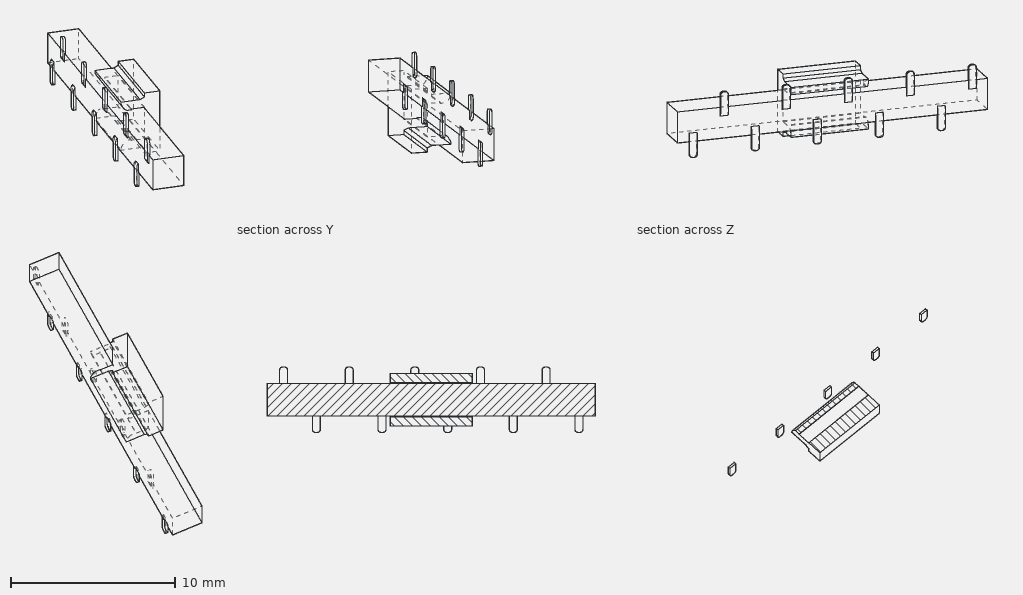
import cadquery as cq
import math

HOUSING_LENGTH = 20.0
HOUSING_DEPTH = 2.0
HOUSING_HEIGHT = 2.0

TAIL_COUNT = 10
TAIL_PITCH = 2.0
TAIL_WIDTH = 0.5
TAIL_THICKNESS = 0.15
TAIL_PROTRUSION = 0.1
TAIL_TIP_Z = 2.0
TAIL_TIP_RADIUS = 0.2
TAIL_ROOT_Z = 0.45
TAIL_BEND_Z = 0.65

CAP_LENGTH = 5.0
CAP_PLATE_THICKNESS = 1.0
CAP_PLATE_HALF_HEIGHT = 2.0
ARM_REACH = 1.5
ARM_OUTER_Z = 1.6
ARM_CLEARANCE = 0.05
LIP_START = 0.85
LIP_FLAT_HEIGHT = 0.05
LIP_RADIUS = 0.35
LIP_BEVEL_ANGLE = math.radians(30)
LIP_END_ANGLE = math.radians(90)
ROOT_CHAMFER_DEPTH = 0.28
ROOT_CHAMFER_HEIGHT = 0.15

HOUSING_HALF_HEIGHT = HOUSING_HEIGHT / 2
HOUSING_FRONT_Y = -HOUSING_DEPTH
TAIL_FRONT_Y = HOUSING_FRONT_Y - TAIL_PROTRUSION
TAIL_BACK_Y = TAIL_FRONT_Y + TAIL_THICKNESS


def make_tail(x, side):
    """Flat tail with rounded tip corners and a rounded root; side is +1 for up, -1 for down."""
    drop = TAIL_BEND_Z - TAIL_ROOT_Z
    radius = (drop**2 + TAIL_PROTRUSION**2) / (2 * TAIL_PROTRUSION)
    half_angle = math.asin(drop / radius) / 2
    arc_mid = (
        TAIL_FRONT_Y + radius * (1 - math.cos(half_angle)),
        side * (TAIL_BEND_Z - radius * math.sin(half_angle)),
    )
    tail = (
        cq.Workplane("YZ")
        .moveTo(TAIL_BACK_Y, side * TAIL_TIP_Z)
        .lineTo(TAIL_FRONT_Y, side * TAIL_TIP_Z)
        .lineTo(TAIL_FRONT_Y, side * TAIL_BEND_Z)
        .threePointArc(arc_mid, (HOUSING_FRONT_Y, side * TAIL_ROOT_Z))
        .lineTo(TAIL_BACK_Y, side * TAIL_ROOT_Z)
        .close()
        .extrude(TAIL_WIDTH / 2, both=True)
    )
    tip_face = ">Z" if side > 0 else "<Z"
    tail = tail.faces(tip_face).edges("|Y").fillet(TAIL_TIP_RADIUS)
    return tail.translate((x, 0, 0))


def make_housing():
    """Plain bar carrying tails that alternate between the lower and upper edge."""
    housing = cq.Workplane("XY").box(HOUSING_LENGTH, HOUSING_DEPTH, HOUSING_HEIGHT)
    housing = housing.translate((0, -HOUSING_DEPTH / 2, 0))
    for index in range(TAIL_COUNT):
        x = (index - (TAIL_COUNT - 1) / 2) * TAIL_PITCH
        side = -1 if index % 2 == 0 else 1
        housing = housing.union(make_tail(x, side))
    return housing


def nose_point(centre_y, centre_z, angle, side):
    """Point on a lip round, its angle measured from the front toward the housing."""
    return (
        centre_y - LIP_RADIUS * math.cos(angle),
        side * (centre_z - LIP_RADIUS * math.sin(angle)),
    )


def make_half_cap(side):
    """Upper (+1) or lower (-1) half of the cap: half of the plate and one clip arm."""
    upper_centre_y = LIP_RADIUS - ARM_REACH
    upper_centre_z = ARM_OUTER_Z - LIP_FLAT_HEIGHT
    lower_centre_z = HOUSING_HALF_HEIGHT + LIP_RADIUS
    lower_centre_y = upper_centre_y + (upper_centre_z - lower_centre_z) * math.tan(LIP_BEVEL_ANGLE)

    def upper_round(angle):
        return nose_point(upper_centre_y, upper_centre_z, angle, side)

    def lower_round(angle):
        return nose_point(lower_centre_y, lower_centre_z, angle, side)

    recess_z = side * (HOUSING_HALF_HEIGHT + ARM_CLEARANCE)
    return (
        cq.Workplane("YZ")
        .moveTo(CAP_PLATE_THICKNESS, 0)
        .lineTo(CAP_PLATE_THICKNESS, side * CAP_PLATE_HALF_HEIGHT)
        .lineTo(0, side * CAP_PLATE_HALF_HEIGHT)
        .lineTo(0, side * (ARM_OUTER_Z + ROOT_CHAMFER_HEIGHT))
        .lineTo(-ROOT_CHAMFER_DEPTH, side * ARM_OUTER_Z)
        .lineTo(-ARM_REACH, side * ARM_OUTER_Z)
        .lineTo(*upper_round(0))
        .threePointArc(upper_round(LIP_BEVEL_ANGLE / 2), upper_round(LIP_BEVEL_ANGLE))
        .lineTo(*lower_round(LIP_BEVEL_ANGLE))
        .threePointArc(lower_round((LIP_BEVEL_ANGLE + LIP_END_ANGLE) / 2), lower_round(LIP_END_ANGLE))
        .lineTo(-LIP_START, side * HOUSING_HALF_HEIGHT)
        .lineTo(-LIP_START, recess_z)
        .lineTo(0, recess_z)
        .lineTo(0, 0)
        .close()
        .extrude(CAP_LENGTH / 2, both=True)
    )


housing = make_housing()
cap = make_half_cap(1).union(make_half_cap(-1))

result = cq.Compound.makeCompound([housing.solids().val(), cap.solids().val()])